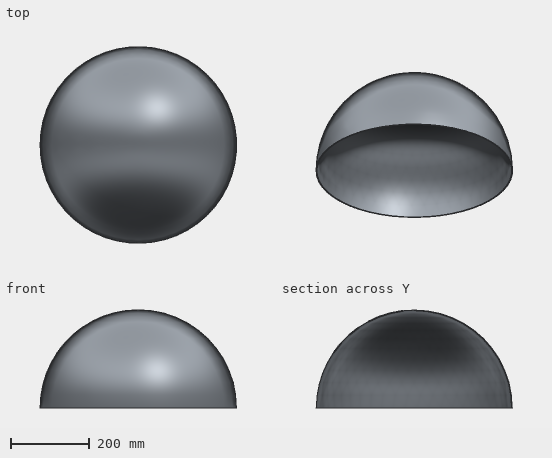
import cadquery as cq

dome_diameter = 500.0
wall_thickness = 2.0

outer_radius = dome_diameter / 2
inner_radius = outer_radius - wall_thickness


def make_hemisphere(radius):
    """Solid hemisphere standing on the XY plane with its pole on +Z."""
    quarter_disc = (
        cq.Workplane("XZ")
        .lineTo(-radius, 0)
        .radiusArc((0, radius), radius)
        .close()
    )
    return quarter_disc.revolve(360, (0, 0, 0), (0, 1, 0))


result = make_hemisphere(outer_radius).cut(make_hemisphere(inner_radius))